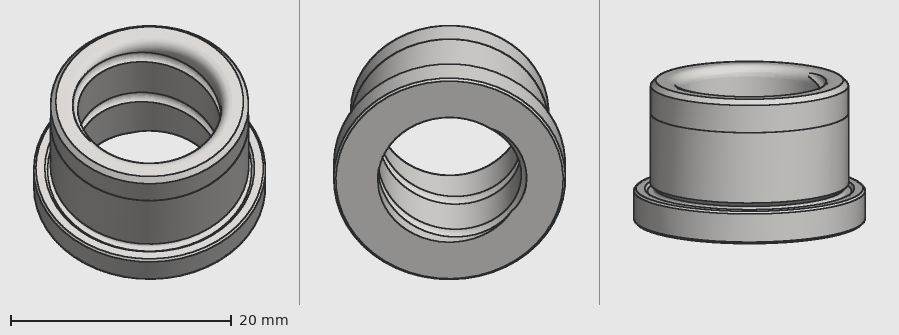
import cadquery as cq


total_height = 13.0
body_radius = 9.0
lead_radius = 8.975
lead_length = 3.0
rim_radius = 8.5
bore_radius = 6.5
bore_entry_fillet = 1.0

flange_radius = 10.5
flange_height = 3.0
flange_chamfer = 0.2

relief_root_radius = 8.6
relief_outer_radius = 9.5
relief_depth = 0.25
relief_root_fillet = 0.25
relief_height = 0.5

groove_radius = 0.75
groove_depth = 0.5
groove_pitch = 6.0
groove_start_z = -3.0
groove_turns = 3
groove_sections = 2


def make_sleeve():
    """Flanged sleeve with a plain cylindrical bore, revolved from half of its cross-section."""
    relief_floor_z = flange_height - relief_depth
    relief_top_z = flange_height + relief_height
    relief_cone_width = body_radius - relief_root_radius
    profile = (
        cq.Workplane("XZ")
        .moveTo(bore_radius, 0)
        .lineTo(flange_radius, 0)
        .lineTo(flange_radius, flange_height)
        .lineTo(relief_outer_radius, flange_height)
        .lineTo(relief_outer_radius - relief_depth, relief_floor_z)
        .lineTo(relief_root_radius + relief_root_fillet, relief_floor_z)
        .radiusArc((relief_root_radius, relief_floor_z + relief_root_fillet), relief_root_fillet)
        .lineTo(relief_root_radius, relief_top_z - relief_cone_width)
        .lineTo(body_radius, relief_top_z)
        .lineTo(body_radius, total_height - lead_length)
        .lineTo(lead_radius, total_height - lead_length)
        .lineTo(lead_radius, total_height)
        .lineTo(bore_radius, total_height)
        .close()
    )
    return profile.revolve(360, (0, 0, 0), (0, 1, 0))


def dress_edges(sleeve):
    """Chamfer the outer rims and round the top entry of the bore."""
    largest_circle = cq.selectors.RadiusNthSelector(-1)
    smallest_circle = cq.selectors.RadiusNthSelector(0)
    sleeve = sleeve.edges(largest_circle).chamfer(flange_chamfer)
    sleeve = sleeve.faces(">Z").edges(largest_circle).chamfer(lead_radius - rim_radius)
    return sleeve.faces(">Z").edges(smallest_circle).fillet(bore_entry_fillet)


def make_groove_bar(start_z, length):
    """Round bar along a right-handed helix; every bar lies on the one helix of the oil groove."""
    centre_radius = bore_radius + groove_depth - groove_radius
    start_angle = 360 * (start_z - groove_start_z) / groove_pitch
    helix = cq.Wire.makeHelix(groove_pitch, length, centre_radius)
    bar = (
        cq.Workplane("XZ")
        .center(centre_radius, 0)
        .circle(groove_radius)
        .sweep(cq.Workplane(helix), isFrenet=True)
    )
    return bar.rotate((0, 0, 0), (0, 0, 1), start_angle).translate((0, 0, start_z))


def cut_oil_groove(sleeve):
    """Cut the groove in equal lengths laid end to end, as one long bar does not cut reliably."""
    length = groove_turns * groove_pitch / groove_sections
    for section in range(groove_sections):
        sleeve = sleeve.cut(make_groove_bar(groove_start_z + section * length, length))
    return sleeve


result = cut_oil_groove(dress_edges(make_sleeve()))